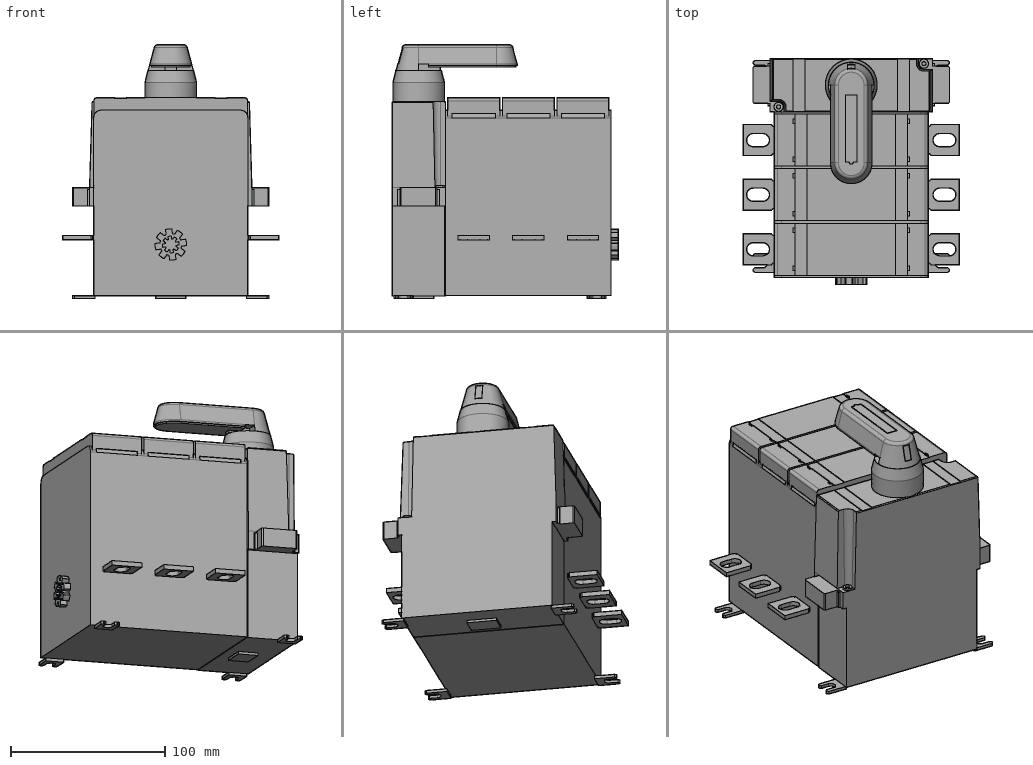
import cadquery as cq
import math

BODY_HALF_X = 50.0
BODY_HEIGHT = 122.0
BODY_BOTTOM = 2.0
BODY_TOP_FILLET = 5.0
POLE_COUNT = 3
POLE_PITCH = 35.3
FIRST_POLE_Y = 18.2
POLE_BLOCK_DEPTH = 107.2

CAP_SIDE_STEP = 0.2
CAP_DEPTH = 33.7
CAP_HALF_X = BODY_HALF_X - CAP_SIDE_STEP
CAP_BOTTOM = BODY_HEIGHT - BODY_TOP_FILLET
CAP_TOP = 130.0
CAP_FILLET = 2.0
CAP_STRIP_INNER = 28.6
STRIP_WIDTH = 7.7
STRIP_SINK = 0.3
CAP_NOTCH_WIDTH = 1.3
CAP_NOTCH_SINK = 0.7
CAP_NOTCH_LENGTH = 3.0
CAP_NOTCH_OFFSET = 12.3
WINDOW_LENGTH = 28.0
WINDOW_HEIGHT = 2.6
WINDOW_SINK = 0.8

SEAM_WIDTH = 0.7
SEAM_SINK = 0.7
MECHANISM_DEPTH = 34.5
MECHANISM_FRONT = POLE_BLOCK_DEPTH
MECHANISM_BACK = MECHANISM_FRONT + MECHANISM_DEPTH
MECHANISM_BOTTOM = 1.6
MECHANISM_TOP = 127.7
MECHANISM_STRIP_INNER = 30.1
COVER_BOTTOM = 59.8
COVER_LEDGE = 71.8
COVER_TOP_HALF_X = 51.0
COVER_LEDGE_HALF_X = 52.6
COVER_CHAMFER = 0.7

SCREW_X = 47.0
SCREW_INSET_Y = 3.3
SCREW_RADIUS = 3.0
SCREW_HEIGHT = 1.3
SCREW_SOCKET_RADIUS = 1.3
POCKET_CLEARANCE = 3.6
POCKET_SIZE = 16.5
POCKET_DRAFT = 1.2

GRIP_HALF_X = 63.6
GRIP_FRONT = 112.8
GRIP_BACK = 136.8
GRIP_CHAMFER = 0.8
COLLAR_HALF_X = 54.0
COLLAR_MARGIN = 1.6
COLLAR_TOP_DROP = 1.2

TERMINAL_HALF_X = 70.0
TERMINAL_WIDTH = 20.2
TERMINAL_BOTTOM = 38.0
TERMINAL_THICKNESS = 3.0
TERMINAL_SHOULDER_X = 51.8
TERMINAL_SHOULDER = 1.2
TERMINAL_OVERLAP = 1.6
TERMINAL_SLOT_X = 60.3
TERMINAL_SLOT_LENGTH = 14.6
TERMINAL_SLOT_WIDTH = 8.4

FOOT_HALF_X = 63.6
FOOT_OVERLAP = 1.0
FOOT_WIDTH = 12.3
FOOT_SLOT_WIDTH = 6.1
FOOT_SLOT_END_X = 54.2
FOOT_CHAMFER = 1.2
FRONT_FOOT_Y = 9.4
REAR_FOOT_Y = 134.5
PAD_HALF_X = 9.9
PAD_FRONT = 114.7
PAD_BACK = 128.2

KNOB_Y = 124.6
KNOB_RADIUS = 16.8
KNOB_BOTTOM = MECHANISM_TOP - 2 * COVER_CHAMFER
KNOB_CYLINDER_TOP = 139.9
KNOB_CONE_TOP = 147.8
KNOB_CONE_TOP_RADIUS = 14.8
ARM_BOTTOM = 151.9
LIP_HEIGHT = 1.2
LIP_SETBACK = 6.2
LIP_BOTTOM = ARM_BOTTOM - LIP_HEIGHT
ARM_TOP = 164.4
ARM_TAPER = 15.0
ARM_LENGTH = 50.3
ARM_FILLET = 2.5
RIM_HEIGHT = 1.0
RIM_INSET = 1.0
NECK_HALF_X = 3.6
NECK_LENGTH = 14.1
LABEL_WIDTH = 7.2
LABEL_FRONT = 74.6
LABEL_BACK = 118.2
LABEL_SINK = 0.3
THUMB_NOTCH_RADIUS = 1.3
MARK_WIDTH = 4.6
MARK_SINK = 0.5
MARK_BOTTOM = 152.0

GEAR_Z = 35.0
GEAR_TEETH = 8
GEAR_PHASE = 8.0
GEAR_LENGTH = 4.6
GEAR_TIP_RADIUS = 10.2
GEAR_ROOT_RADIUS = 7.0
GEAR_TOOTH_WIDTH = 4.1
SOCKET_TIP_RADIUS = 5.5
SOCKET_ROOT_RADIUS = 3.6
SOCKET_TOOTH_WIDTH = 2.1
SOCKET_DEPTH = 2.3

SIDES = (-1, 1)
POLE_CENTRES = [FIRST_POLE_Y + i * POLE_PITCH for i in range(POLE_COUNT)]


def block(x0, x1, y0, y1, z0, z1):
    """Axis-aligned box between two corners."""
    size = (abs(x1 - x0), abs(y1 - y0), abs(z1 - z0))
    return cq.Workplane("XY").box(*size).translate(((x0 + x1) / 2, (y0 + y1) / 2, (z0 + z1) / 2))


def top_strips(inner, y0, y1, top):
    """Pair of shallow lengthwise strips sunk into a top face."""
    strips = cq.Workplane("XY")
    for side in SIDES:
        strips = strips.add(block(side * inner, side * (inner + STRIP_WIDTH), y0, y1, top - STRIP_SINK, top))
    return strips.combine()


def pole_body():
    body = block(-BODY_HALF_X, BODY_HALF_X, 0, POLE_BLOCK_DEPTH, BODY_BOTTOM, BODY_HEIGHT)
    return body.edges("|Y and >Z").fillet(BODY_TOP_FILLET)


def pole_cap(y):
    """Raised cap over one pole, with sunk strips, latch notches and a sloped window on each side."""
    y0 = y - CAP_DEPTH / 2
    y1 = y + CAP_DEPTH / 2
    cap = block(-CAP_HALF_X, CAP_HALF_X, y0, y1, CAP_BOTTOM, CAP_TOP)
    cap = cap.edges("|Y and >Z").fillet(CAP_FILLET)
    cap = cap.cut(top_strips(CAP_STRIP_INNER, y0, y1, CAP_TOP))
    notch_x = CAP_STRIP_INNER + STRIP_WIDTH
    for side in SIDES:
        for offset in (-CAP_NOTCH_OFFSET, CAP_NOTCH_OFFSET):
            notch_y = y + offset
            cap = cap.cut(block(
                side * notch_x, side * (notch_x + CAP_NOTCH_WIDTH),
                notch_y - CAP_NOTCH_LENGTH / 2, notch_y + CAP_NOTCH_LENGTH / 2,
                CAP_TOP - CAP_NOTCH_SINK, CAP_TOP,
            ))
    return cap


def cap_windows(y):
    """Wedges that recess the lower side wall of one cap."""
    windows = cq.Workplane("XY")
    for side in SIDES:
        wedge = (
            cq.Workplane("XZ", origin=(0, y + WINDOW_LENGTH / 2, 0))
            .moveTo(side * BODY_HALF_X, CAP_BOTTOM)
            .lineTo(side * (CAP_HALF_X - WINDOW_SINK), CAP_BOTTOM + WINDOW_HEIGHT)
            .lineTo(side * BODY_HALF_X, CAP_BOTTOM + WINDOW_HEIGHT)
            .close()
            .extrude(WINDOW_LENGTH)
        )
        windows = windows.add(wedge)
    return windows.combine()


def mechanism():
    """Rear housing: plain lower box under a slightly tapered cover with two corner screws."""
    base = block(-BODY_HALF_X, BODY_HALF_X, MECHANISM_FRONT, MECHANISM_BACK, MECHANISM_BOTTOM, COVER_BOTTOM)
    cover = (
        cq.Workplane("XZ", origin=(0, MECHANISM_BACK, 0))
        .polyline([
            (-COVER_LEDGE_HALF_X, COVER_BOTTOM),
            (-COVER_LEDGE_HALF_X, COVER_LEDGE),
            (-COVER_TOP_HALF_X, MECHANISM_TOP),
            (COVER_TOP_HALF_X, MECHANISM_TOP),
            (COVER_LEDGE_HALF_X, COVER_LEDGE),
            (COVER_LEDGE_HALF_X, COVER_BOTTOM),
        ])
        .close()
        .extrude(MECHANISM_DEPTH)
        .faces(">Z").edges().chamfer(COVER_CHAMFER)
    )
    cover = cover.cut(top_strips(MECHANISM_STRIP_INNER, MECHANISM_FRONT, MECHANISM_BACK, MECHANISM_TOP))
    for side, screw_y in ((-1, MECHANISM_FRONT + SCREW_INSET_Y), (1, MECHANISM_BACK - SCREW_INSET_Y)):
        cover = cover.cut(screw_pocket(side, screw_y)).union(screw(side, screw_y))
    return base.union(cover)


def screw_pocket(side, y):
    """Drafted corner pocket, open towards both outer faces of the corner."""
    shift = POCKET_SIZE / 2 - POCKET_CLEARANCE
    return (
        cq.Workplane("XY", origin=(side * (SCREW_X + shift), y + side * shift, COVER_LEDGE))
        .sketch()
        .rect(POCKET_SIZE, POCKET_SIZE)
        .vertices()
        .fillet(POCKET_CLEARANCE)
        .finalize()
        .extrude(MECHANISM_TOP - COVER_LEDGE, taper=-POCKET_DRAFT)
    )


def screw(side, y):
    return (
        cq.Workplane("XY", origin=(side * SCREW_X, y, COVER_LEDGE))
        .circle(SCREW_RADIUS)
        .circle(SCREW_SOCKET_RADIUS)
        .extrude(SCREW_HEIGHT)
    )


def seam():
    """Shallow upright groove on both sides, at the joint between the pole block and the rear housing."""
    y1 = MECHANISM_FRONT + SEAM_WIDTH
    outer = block(-BODY_HALF_X, BODY_HALF_X, MECHANISM_FRONT, y1, 0, COVER_BOTTOM)
    inner_half = BODY_HALF_X - SEAM_SINK
    return outer.cut(block(-inner_half, inner_half, MECHANISM_FRONT, y1, 0, COVER_BOTTOM))


def side_grip(side):
    grip = block(0, side * GRIP_HALF_X, GRIP_FRONT, GRIP_BACK, COVER_BOTTOM, COVER_LEDGE)
    grip = grip.faces(">X" if side > 0 else "<X").edges("|Z").chamfer(GRIP_CHAMFER)
    collar = block(
        0, side * COLLAR_HALF_X,
        GRIP_FRONT - COLLAR_MARGIN, GRIP_BACK + COLLAR_MARGIN,
        COVER_BOTTOM, COVER_LEDGE - COLLAR_TOP_DROP,
    )
    return grip.union(collar)


def terminal(side, y):
    """Flat connection tab with a slotted hole and narrowed shoulders at the body."""
    half = TERMINAL_WIDTH / 2
    root_x = TERMINAL_SHOULDER_X - TERMINAL_SHOULDER
    outline = [
        (TERMINAL_HALF_X, half),
        (TERMINAL_SHOULDER_X, half),
        (root_x, half - TERMINAL_SHOULDER),
        (BODY_HALF_X - TERMINAL_OVERLAP, half - TERMINAL_SHOULDER),
    ]
    outline += [(x, -dy) for x, dy in reversed(outline)]
    return (
        cq.Workplane("XY", origin=(0, y, TERMINAL_BOTTOM))
        .polyline([(side * x, dy) for x, dy in outline])
        .close()
        .extrude(TERMINAL_THICKNESS)
        .cut(
            cq.Workplane("XY", origin=(side * TERMINAL_SLOT_X, y, TERMINAL_BOTTOM))
            .slot2D(TERMINAL_SLOT_LENGTH, TERMINAL_SLOT_WIDTH)
            .extrude(TERMINAL_THICKNESS)
        )
    )


def foot(side, y):
    """Forked mounting foot with a round-ended slot open to the outside."""
    half = FOOT_WIDTH / 2
    plate = block(side * (BODY_HALF_X - FOOT_OVERLAP), side * FOOT_HALF_X, y - half, y + half, 0, BODY_BOTTOM)
    slot_centre_x = FOOT_SLOT_END_X + FOOT_SLOT_WIDTH / 2
    round_end = (
        cq.Workplane("XY", origin=(side * slot_centre_x, y, 0))
        .circle(FOOT_SLOT_WIDTH / 2)
        .extrude(BODY_BOTTOM)
    )
    half_slot = FOOT_SLOT_WIDTH / 2
    opening = block(side * slot_centre_x, side * FOOT_HALF_X, y - half_slot, y + half_slot, 0, BODY_BOTTOM)
    plate = plate.cut(round_end).cut(opening)
    return plate.faces(">X" if side > 0 else "<X").edges("|Z").chamfer(FOOT_CHAMFER)


def radius_at(z):
    """Radius of the drafted arm ends at a given height, in line with the knob rim."""
    return KNOB_RADIUS - (z - KNOB_CYLINDER_TOP) * math.tan(math.radians(ARM_TAPER))


def arm_end_cone(bottom, top, inset):
    """Cone parallel to the rear end of the arm, shrunk by an inset."""
    return (
        cq.Workplane("XY", origin=(0, KNOB_Y, bottom))
        .circle(radius_at(bottom) - inset)
        .extrude(top - bottom, taper=ARM_TAPER)
    )


def arm_prism(bottom, top, radius, taper=0):
    """Round-ended bar running forward from the knob axis."""
    return (
        cq.Workplane("XY", origin=(0, KNOB_Y - ARM_LENGTH / 2, bottom))
        .slot2D(ARM_LENGTH + 2 * radius, 2 * radius, 90)
        .extrude(top - bottom, taper=taper)
    )


def rotary_handle():
    """Conical knob carrying a drafted arm with an undercut, a label recess and an engraved mark."""
    knob = (
        cq.Workplane("XZ", origin=(0, KNOB_Y, 0))
        .polyline([
            (0, KNOB_BOTTOM),
            (KNOB_RADIUS, KNOB_BOTTOM),
            (KNOB_RADIUS, KNOB_CYLINDER_TOP),
            (KNOB_CONE_TOP_RADIUS, KNOB_CONE_TOP),
            (0, KNOB_CONE_TOP),
        ])
        .close()
        .revolve(360, (0, 0, 0), (0, 1, 0))
    )
    neck = block(-NECK_HALF_X, NECK_HALF_X, KNOB_Y - NECK_LENGTH, KNOB_Y, KNOB_CONE_TOP, ARM_BOTTOM)

    arm_radius = radius_at(ARM_BOTTOM)
    arm = arm_prism(KNOB_CONE_TOP, ARM_TOP, radius_at(KNOB_CONE_TOP), ARM_TAPER)
    arm = arm.faces(">Z").edges().fillet(ARM_FILLET)
    arm_reach = ARM_LENGTH + KNOB_RADIUS
    arm = arm.cut(block(-KNOB_RADIUS, KNOB_RADIUS, KNOB_Y - arm_reach, KNOB_Y, KNOB_CONE_TOP, ARM_BOTTOM))
    lip = arm_prism(LIP_BOTTOM, ARM_BOTTOM, arm_radius)
    rim = arm_prism(LIP_BOTTOM - RIM_HEIGHT, LIP_BOTTOM, arm_radius - RIM_INSET)
    lip_back = KNOB_Y - LIP_SETBACK
    lip_zone = block(-KNOB_RADIUS, KNOB_RADIUS, KNOB_Y - arm_reach, lip_back, KNOB_CONE_TOP, ARM_BOTTOM)
    underside = lip.union(rim).intersect(lip_zone)
    handle = arm.union(underside).union(neck).union(knob)

    label = block(-LABEL_WIDTH / 2, LABEL_WIDTH / 2, LABEL_FRONT, LABEL_BACK, ARM_TOP - LABEL_SINK, ARM_TOP)
    thumb_notch = (
        cq.Workplane("XY", origin=(0, LABEL_FRONT, ARM_TOP - LABEL_SINK))
        .circle(THUMB_NOTCH_RADIUS)
        .extrude(LABEL_SINK)
    )
    mark_top = ARM_TOP - ARM_FILLET
    mark = block(-MARK_WIDTH / 2, MARK_WIDTH / 2, KNOB_Y, KNOB_Y + KNOB_RADIUS, MARK_BOTTOM, mark_top)
    mark = mark.cut(arm_end_cone(MARK_BOTTOM, mark_top, MARK_SINK))
    return handle.cut(label).cut(thumb_notch).cut(mark)


def toothed_prism(front, length, tip_radius, root_radius, tooth_width):
    """Disc with straight radial teeth, running back along Y from its front face."""
    plane = cq.Workplane("XZ", origin=(0, front + length, GEAR_Z))
    prism = plane.circle(root_radius).extrude(length)
    disc = plane.circle(tip_radius).extrude(length)
    axis_start = (0, 0, GEAR_Z)
    axis_end = (0, 1, GEAR_Z)
    tooth = block(
        0, 2 * tip_radius, front, front + length,
        GEAR_Z - tooth_width / 2, GEAR_Z + tooth_width / 2,
    ).intersect(disc)
    for i in range(GEAR_TEETH):
        prism = prism.union(tooth.rotate(axis_start, axis_end, -GEAR_PHASE - i * 360 / GEAR_TEETH))
    return prism


def coupling():
    """Toothed shaft end on the front face with a matching socket."""
    gear = toothed_prism(-GEAR_LENGTH, GEAR_LENGTH, GEAR_TIP_RADIUS, GEAR_ROOT_RADIUS, GEAR_TOOTH_WIDTH)
    socket = toothed_prism(
        -GEAR_LENGTH, SOCKET_DEPTH, SOCKET_TIP_RADIUS, SOCKET_ROOT_RADIUS, SOCKET_TOOTH_WIDTH
    )
    return gear.cut(socket)


result = pole_body()
for pole_y in POLE_CENTRES:
    result = result.union(pole_cap(pole_y))
for pole_y in POLE_CENTRES:
    result = result.cut(cap_windows(pole_y))
result = result.union(mechanism()).cut(seam())
result = result.union(block(-PAD_HALF_X, PAD_HALF_X, PAD_FRONT, PAD_BACK, 0, MECHANISM_BOTTOM))
for side in SIDES:
    result = result.union(side_grip(side))
    for pole_y in POLE_CENTRES:
        result = result.union(terminal(side, pole_y))
    for foot_y in (FRONT_FOOT_Y, REAR_FOOT_Y):
        result = result.union(foot(side, foot_y))
result = result.union(rotary_handle()).union(coupling())